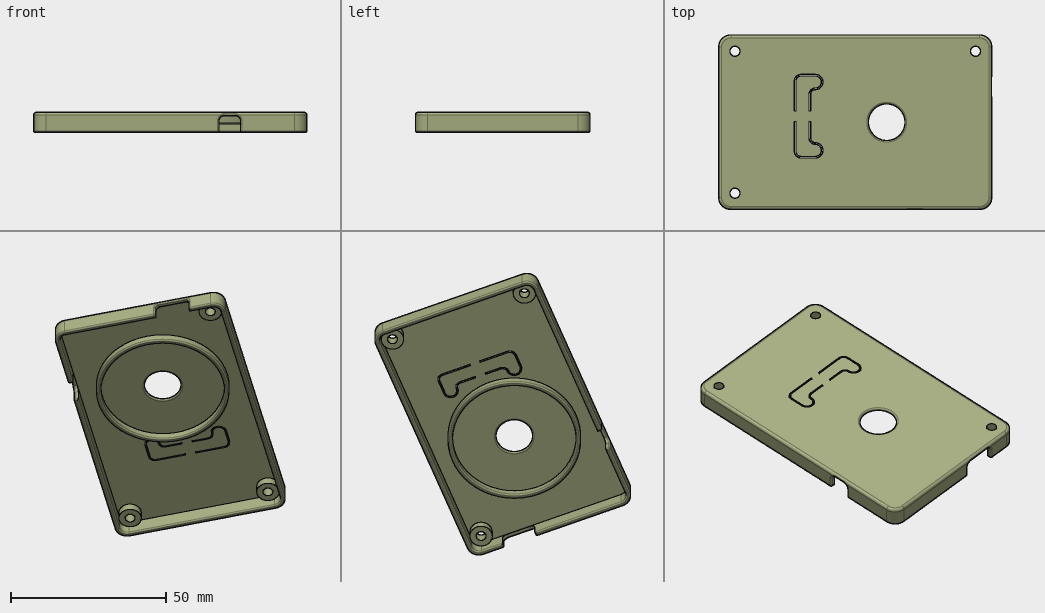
import cadquery as cq

length = 88.1
width = 56.3
height = 6.5
corner_radius = 4.0
top_edge_radius = 1.0
edge_radius = 0.5

wall = 1.5
top_thickness = 1.1
ceiling_height = height - top_thickness
standoff_height = 2.7

screw_hole_diameter = 3.2
screw_boss_diameter = 7.2
screw_hole_inset = 5.3

opening_diameter = 11.7
opening_x = 10.1
ring_diameter = 42.8

notch_top = 5.3
notch_corner_radius = 1.6
front_notch_width = 7.0
front_notch_x = 19.2
side_notch_width = 11.1
side_notch_y = 11.4

slot_width = 0.4
handset_left = -19.4
handset_center_y = 1.9
handset_length = 26.4
handset_grip_width = 4.8
handset_corner_radius = 1.9
handset_end_radius = 2.2
handset_neck_radius = 1.8
hinge_gap = 3.4


def make_shell():
    body = (
        cq.Workplane("XY")
        .rect(length, width)
        .extrude(height)
        .edges("|Z")
        .fillet(corner_radius)
        .faces(">Z")
        .edges()
        .fillet(top_edge_radius)
    )
    cavity = (
        cq.Workplane("XY")
        .rect(length - 2 * wall, width - 2 * wall)
        .extrude(ceiling_height)
        .edges("|Z")
        .fillet(corner_radius - wall)
    )
    return body.cut(cavity)


def screw_positions():
    hole_x = length / 2 - screw_hole_inset
    hole_y = width / 2 - screw_hole_inset
    return [(-hole_x, -hole_y), (-hole_x, hole_y), (hole_x, hole_y)]


def make_screw_bosses():
    return (
        cq.Workplane("XY", origin=(0, 0, standoff_height))
        .pushPoints(screw_positions())
        .circle(screw_boss_diameter / 2)
        .extrude(ceiling_height - standoff_height)
    )


def make_screw_holes():
    return cq.Workplane("XY").pushPoints(screw_positions()).circle(screw_hole_diameter / 2).extrude(height)


def make_ring():
    return (
        cq.Workplane("XY", origin=(opening_x, 0, standoff_height))
        .circle(ring_diameter / 2)
        .circle(ring_diameter / 2 - wall)
        .extrude(ceiling_height - standoff_height)
        .faces("<Z")
        .edges()
        .fillet(edge_radius)
    )


def make_opening():
    """Cutter whose side bulges inward so that the plate's rim is left half-round."""
    bore_radius = opening_diameter / 2
    rim_radius = bore_radius + top_thickness / 2
    return (
        cq.Workplane("XZ")
        .moveTo(0, ceiling_height)
        .lineTo(rim_radius, ceiling_height)
        .threePointArc((bore_radius, ceiling_height + top_thickness / 2), (rim_radius, height))
        .lineTo(0, height)
        .close()
        .revolve(360, (0, 0, 0), (0, 1, 0))
        .translate((opening_x, 0, 0))
    )


def make_notch(notch_width):
    """Arched cutter, centred on the origin, that passes through a wall along Y."""
    return (
        cq.Workplane("XY")
        .box(notch_width, 2 * wall, 2 * notch_top)
        .edges("|Y and >Z")
        .fillet(notch_corner_radius)
    )


def make_front_notch():
    return make_notch(front_notch_width).translate((front_notch_x, -width / 2, 0))


def make_side_notch():
    turned = make_notch(side_notch_width).rotate((0, 0, 0), (0, 0, 1), 90)
    return turned.translate((length / 2, side_notch_y, 0))


def round_edges(body):
    """Round the outer rims of both notches and every edge of the open underside."""
    rim_depth = wall / 2
    front_rim = cq.selectors.BoxSelector(
        (front_notch_x - front_notch_width / 2 - rim_depth, -width / 2 - rim_depth, edge_radius),
        (front_notch_x + front_notch_width / 2 + rim_depth, -width / 2 + rim_depth, height - edge_radius),
    )
    side_rim = cq.selectors.BoxSelector(
        (length / 2 - rim_depth, side_notch_y - side_notch_width / 2 - rim_depth, edge_radius),
        (length / 2 + rim_depth, side_notch_y + side_notch_width / 2 + rim_depth, height - edge_radius),
    )
    rims = [
        edge
        for edge in body.edges(front_rim).vals() + body.edges(side_rim).vals()
        if edge.Length() < side_notch_width
    ]
    underside = body.faces("<Z").edges().vals()
    return body.newObject(rims + underside).fillet(edge_radius)


def handset_block(offset):
    """Handset-shaped block whose outline lies outside the slot's centre line by offset."""
    left = handset_left - offset
    grip_right = handset_left + handset_grip_width + offset
    top = handset_length / 2 + offset
    corner = handset_corner_radius + offset
    end_radius = handset_end_radius + offset
    neck_radius = handset_neck_radius - offset
    end_x = grip_right + neck_radius
    neck_bottom = top - 2 * end_radius - neck_radius
    return (
        cq.Workplane("XY", origin=(0, handset_center_y, 0))
        .moveTo(left, corner - top)
        .lineTo(left, top - corner)
        .tangentArcPoint((corner, corner))
        .lineTo(end_x, top)
        .tangentArcPoint((0, -2 * end_radius))
        .tangentArcPoint((-neck_radius, -neck_radius))
        .lineTo(grip_right, -neck_bottom)
        .tangentArcPoint((neck_radius, -neck_radius))
        .tangentArcPoint((0, -2 * end_radius))
        .lineTo(left + corner, -top)
        .tangentArcPoint((-corner, corner))
        .close()
        .extrude(height)
    )


def make_handset_slot():
    slot = handset_block(slot_width / 2).cut(handset_block(-slot_width / 2))
    hinge = (
        cq.Workplane("XY", origin=(handset_left + handset_grip_width / 2, handset_center_y, 0))
        .rect(2 * handset_grip_width, hinge_gap)
        .extrude(height)
    )
    return slot.cut(hinge)


tray = make_shell().cut(make_front_notch()).cut(make_side_notch())
result = (
    round_edges(tray)
    .union(make_screw_bosses())
    .union(make_ring())
    .cut(make_screw_holes())
    .cut(make_opening())
    .cut(make_handset_slot())
)